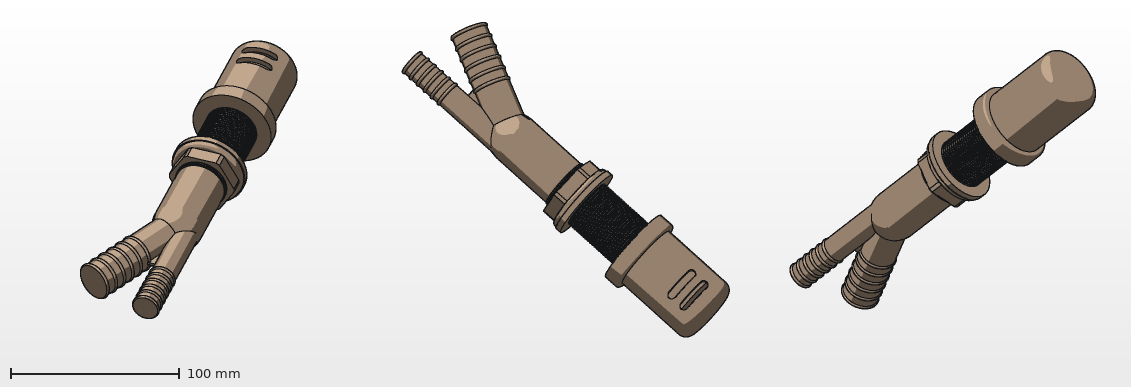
import cadquery as cq
import math


cap_radius = 20.8
cap_edge_fillet = 5.8
flange_diameter = 49.3
flange_radius = flange_diameter / 2
flange_edge_fillet = 1.5
flange_start = 51.5
flange_end = 61.5

chamber_radius = 17.5
chamber_start = 3.3
chamber_end = 12.9
slot_length = 22.2
slot_width = 5.0
slot_pitch = 9.8
first_slot = 12.6
slot_count = 2

thread_crest_radius = 16.0
thread_root_radius = 15.2
thread_pitch = 1.75
thread_crest_width = 0.7
thread_flank_width = 0.35
thread_ridge_count = 32
shank_end = flange_end + thread_ridge_count * thread_pitch

washer_radius = 23.0
washer_step_radius = 22.2
washer_edge_fillet = 2.0
washer_start = 99.0
washer_step = 102.8
washer_end = 106.4
nut_end = 115.0
nut_across_flats = 36.5
nut_across_trimmed_corners = 40.7

body_radius = 15.5
dome_center = 157.3

bead_height = 0.7
bead_width = 2.0
bead_count = 6
straight_outlet_end = 233.7
straight_bead_radius = 8.5
straight_bead_pitch = 5.5
straight_outlet_x = body_radius - straight_bead_radius
branch_bead_radius = 11.7
branch_bead_pitch = 7.0
branch_length = 70.8
branch_angle = 25

web_thickness = 1.9
web_end = 195.0


def cylinder(radius, start, end):
    """Cylinder on the main axis between two stations."""
    return cq.Workplane("XZ", origin=(0, -start, 0)).circle(radius).extrude(end - start)


def make_cap():
    cap = cylinder(cap_radius, 0, flange_end).faces(">Y").edges().fillet(cap_edge_fillet)
    flange = cylinder(flange_radius, flange_start, flange_end)
    flange = flange.faces(">Y").edges().fillet(flange_edge_fillet)
    return cap.union(flange)


def make_air_gap():
    """Chamber under the cap top, with slots through the wall on the +Z side."""
    cutter = cylinder(chamber_radius, chamber_start, chamber_end)
    core = cylinder(chamber_radius, 0, flange_start)
    for i in range(slot_count):
        slot = (
            cq.Workplane("XY")
            .center(0, -(first_slot + i * slot_pitch))
            .slot2D(slot_length, slot_width)
            .extrude(cap_radius)
        )
        cutter = cutter.union(slot.cut(core))
    return cutter


def make_shank():
    """Shank with trapezoidal ridges repeated at the thread pitch."""
    ridge_width = thread_crest_width + 2 * thread_flank_width
    profile = cq.Workplane("XY").moveTo(0, -flange_end).lineTo(thread_root_radius, -flange_end)
    for i in range(thread_ridge_count):
        ridge_end = flange_end + (i + 1) * thread_pitch
        crest_end = ridge_end - thread_flank_width
        profile = (
            profile.lineTo(thread_root_radius, -(ridge_end - ridge_width))
            .lineTo(thread_crest_radius, -(crest_end - thread_crest_width))
            .lineTo(thread_crest_radius, -crest_end)
            .lineTo(thread_root_radius, -ridge_end)
        )
    profile = profile.lineTo(0, -shank_end).close()
    return profile.revolve(360, (0, 0, 0), (0, 1, 0))


def make_hexagon(across_flats):
    """Hexagonal prism along the nut, with two flats facing +X and -X."""
    plane = cq.Workplane("XZ", origin=(0, -washer_end, 0))
    return plane.polygon(6, across_flats, circumscribed=True).extrude(nut_end - washer_end)


def make_nut():
    rim = cylinder(washer_radius, washer_start, washer_step)
    shoulder = cylinder(washer_step_radius, washer_step, washer_end)
    shoulder = shoulder.faces("<Y").edges().fillet(washer_edge_fillet)

    nut = make_hexagon(nut_across_flats).rotate((0, 0, 0), (0, 1, 0), 30)
    corner_trim = make_hexagon(nut_across_trimmed_corners)
    return rim.union(shoulder).union(nut.intersect(corner_trim))


def make_body():
    dome = cq.Workplane("XY", origin=(0, -dome_center, 0)).sphere(body_radius)
    return cylinder(body_radius, shank_end, dome_center).union(dome)


def make_barb(length, bead_radius, pitch):
    """Hose barb on the Y axis from y = 0 to y = -length, ending in rounded beads."""
    tube_radius = bead_radius - bead_height
    first_bead = length - bead_width - (bead_count - 1) * pitch
    profile = cq.Workplane("XY").lineTo(tube_radius, 0)
    for i in range(bead_count):
        bead_start = first_bead + i * pitch
        profile = (
            profile.lineTo(tube_radius, -bead_start)
            .threePointArc(
                (bead_radius, -(bead_start + bead_width / 2)),
                (tube_radius, -(bead_start + bead_width)),
            )
        )
    return profile.lineTo(0, -length).close().revolve(360, (0, 0, 0), (0, 1, 0))


def make_outlets():
    straight = make_barb(straight_outlet_end - dome_center, straight_bead_radius, straight_bead_pitch)
    straight = straight.translate((straight_outlet_x, -dome_center, 0))
    branch = make_barb(branch_length, branch_bead_radius, branch_bead_pitch)
    branch = branch.rotate((0, 0, 0), (0, 0, 1), -branch_angle).translate((0, -dome_center, 0))
    return straight.union(branch)


def make_web():
    """Thin four-sided web between the branch axis and the straight outlet axis."""
    branch_x = -(web_end - dome_center) * math.tan(math.radians(branch_angle))
    return (
        cq.Workplane("XY")
        .polyline([
            (0, -dome_center),
            (straight_outlet_x, -dome_center),
            (straight_outlet_x, -web_end),
            (branch_x, -web_end),
        ])
        .close()
        .extrude(web_thickness / 2, both=True)
    )


result = (
    make_cap()
    .cut(make_air_gap())
    .union(make_shank())
    .union(make_nut())
    .union(make_body())
    .union(make_outlets())
    .union(make_web())
)